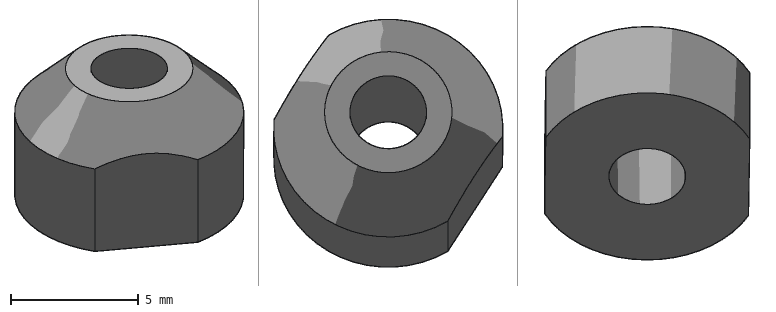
import cadquery as cq

outer_diameter = 8.99
total_height = 5.8
top_face_diameter = 5.0
bore_diameter = 3.0
across_flats = 8.0
flat_direction = 30.0

cone_height = (outer_diameter - top_face_diameter) / 2


def make_body():
    """Cylinder with a conical top, centred on Z with its base at Z = 0."""
    cylinder = cq.Workplane("XY").circle(outer_diameter / 2).extrude(total_height)
    return cylinder.faces(">Z").chamfer(cone_height)


def make_flats_envelope():
    """Block whose two long sides are the opposed wrench flats."""
    block = cq.Workplane("XY").rect(2 * outer_diameter, across_flats).extrude(total_height)
    return block.rotate((0, 0, 0), (0, 0, 1), flat_direction)


def make_bore():
    """Straight through bore."""
    return cq.Workplane("XY").circle(bore_diameter / 2).extrude(total_height)


result = make_body().intersect(make_flats_envelope()).cut(make_bore())